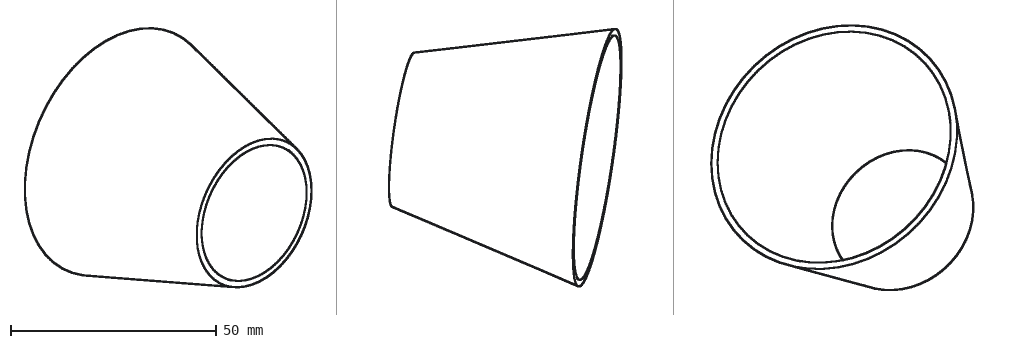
import cadquery as cq

length = 48.0
wide_diameter = 63.5
narrow_diameter = 38.1
wall = 1.65

wide_radius = wide_diameter / 2
narrow_radius = narrow_diameter / 2

wall_section = [
    (0, wide_radius - wall),
    (0, wide_radius),
    (length, narrow_radius),
    (length, narrow_radius - wall),
]

result = (
    cq.Workplane("XY")
    .polyline(wall_section)
    .close()
    .revolve(360, (0, 0, 0), (1, 0, 0))
)